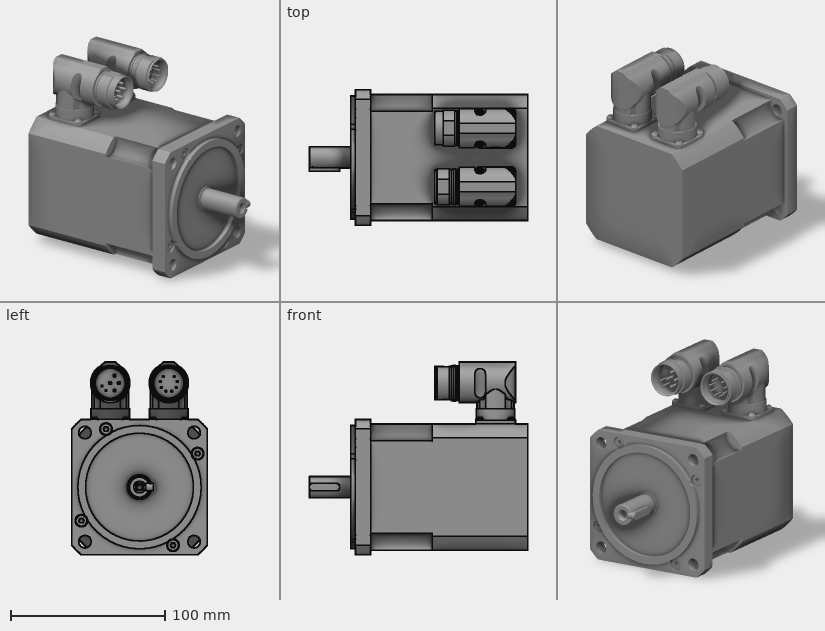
import cadquery as cq
import math


FLANGE_SIDE = 88.0
FLANGE_CORNER_DIA = 116.0
FLANGE_LENGTH = 10.0
PILOT_DIA = 80.0
PILOT_LENGTH = 3.0
RECESS_DIA = 70.0
BOLT_CIRCLE_DIA = 100.0
MOUNT_HOLE_DIA = 8.0

SCREW_CIRCLE_DIA = 87.0
SCREW_ANGLE = 60.0
COUNTERBORE_DIA = 8.0
COUNTERBORE_DEPTH = 4.0
SCREW_HEAD_DIA = 7.2
SCREW_HEAD_HEIGHT = 3.0
SCREW_SOCKET_DIA = 3.5
SCREW_SOCKET_DEPTH = 1.5
SCREW_SOCKET_POINT = 1.0

HOUSING_SIDE = 82.0
HOUSING_CORNER_DIA = 104.0
HOUSING_END = 112.0
SCALLOP_END = 50.0
SCALLOP_RADIUS = 8.0
SCALLOP_OFFSET = 37.0

SHAFT_DIA = 14.0
SHAFT_LENGTH = 30.0
SHAFT_CHAMFER = 0.5
COLLAR_DIA = 16.0
COLLAR_LENGTH = 1.0
KEY_WIDTH = 5.0
KEY_LENGTH = 20.0
KEY_TOP = 9.0
KEY_SEAT = 4.0
CENTRE_CONE_DIA = 7.6
CENTRE_BORE_DIA = 5.0
CENTRE_BORE_DEPTH = 4.0
CENTRE_DRILL_DIA = 3.6
CENTRE_DRILL_DEPTH = 14.0
DRILL_POINT_ANGLE = 118.0

CONNECTOR_SPACING = 38.0
STAND_X = 91.0
PLATE_SIDE = 26.0
PLATE_HEIGHT = 2.3
PLATE_CORNER_RADIUS = 3.2
STAND_COLLAR_RADIUS = 12.55
STAND_COLLAR_TOP = 50.75
NECK_RADIUS = 12.1
NECK_NOTCH_RADIUS = 3.9
PLATE_SCREW_OFFSET = 10.3
PLATE_SCREW_DIA = 4.8
PLATE_SCREW_RIM = 0.7
PLATE_SCREW_HEIGHT = 2.2
PLATE_SCREW_DOME_RADIUS = 1.4
PLATE_SCREW_CROSS_LENGTH = 2.6
PLATE_SCREW_CROSS_WIDTH = 0.9
PLATE_SCREW_CROSS_DEPTH = 1.2

TOP_Z = 125.22 - FLANGE_SIDE / 2
HEAD_AXIS_Z = 67.5
HEAD_RADIUS = 12.7
HEAD_START = 67.4
HEAD_END = 104.0
RIDGE_HALF_WIDTH = 3.3
RIDGE_FOOT_HALF_WIDTH = 6.3
HEAD_BACK_RADIUS = 14.1
SLOT_RADIUS = 3.6
SLOT_X = 81.0
SLOT_OFFSET = 12.1

COUPLING_START = 51.6
COUPLING_BORE_RADIUS = 9.8
COUPLING_BORE_DEPTH = 11.0
COUPLING_MOUTH_BEVEL = 0.7
TUBE_RADIUS = 10.9
RING_RADIUS = 11.3
GROOVE_RADIUS = 10.5
GRIP_RADIUS = 11.65
GRIP_FLAT_HEIGHT = 10.65
POWER_GRIP = (57.0, 64.6)
SIGNAL_GRIP = (53.3, 60.9)
POWER_STEPS = [(POWER_GRIP[0], TUBE_RADIUS), (POWER_GRIP[1], GRIP_RADIUS), (65.8, TUBE_RADIUS),
               (66.8, RING_RADIUS), (HEAD_START, TUBE_RADIUS)]
SIGNAL_STEPS = [(52.7, TUBE_RADIUS), (SIGNAL_GRIP[0], GROOVE_RADIUS), (SIGNAL_GRIP[1], GRIP_RADIUS),
                (62.4, TUBE_RADIUS), (63.7, RING_RADIUS), (64.8, GRIP_RADIUS), (65.8, TUBE_RADIUS),
                (66.8, RING_RADIUS), (HEAD_START, TUBE_RADIUS)]

PIN_CIRCLE_RADIUS = 5.6
PIN_LENGTH = 8.5
LARGE_PIN_DIA = 1.8
SMALL_PIN_DIA = 1.1
PIN_CHAMFER = 0.3
POWER_LARGE_PIN_ANGLES = [-60, 0, 60]
POWER_SMALL_PIN_ANGLES = [200, 240]
SIGNAL_PIN_PITCH = 40
SIGNAL_PIN_COUNT = 8


def disc(start, end, radius, y=0.0, z=0.0):
    """Cylinder along X between two X positions."""
    return cq.Workplane("YZ", origin=(start, y, z)).circle(radius).extrude(end - start)


def post(x, y, bottom, top, radius):
    """Cylinder along Z between two heights."""
    return cq.Workplane("XY", origin=(x, y, bottom)).circle(radius).extrude(top - bottom)


def turned_square(start, end, side, corner_dia):
    """Square prism along X whose corners are turned to a diameter."""
    square = cq.Workplane("YZ", origin=(start, 0, 0)).rect(side, side).extrude(end - start)
    return square.intersect(disc(start, end, corner_dia / 2))


def corners(offset):
    """The four sign combinations of an offset."""
    return [(a * offset, b * offset) for a in (-1, 1) for b in (-1, 1)]


def make_flange():
    flange = turned_square(0, FLANGE_LENGTH, FLANGE_SIDE, FLANGE_CORNER_DIA)
    pilot = disc(-PILOT_LENGTH, 0, PILOT_DIA / 2).cut(disc(-PILOT_LENGTH, 0, RECESS_DIA / 2))
    flange = flange.union(pilot)
    for y, z in corners(BOLT_CIRCLE_DIA / 2 / math.sqrt(2)):
        flange = flange.cut(disc(0, FLANGE_LENGTH, MOUNT_HOLE_DIA / 2, y, z))
    for quarter in range(4):
        angle = math.radians(SCREW_ANGLE + 90 * quarter)
        y = SCREW_CIRCLE_DIA / 2 * math.cos(angle)
        z = SCREW_CIRCLE_DIA / 2 * math.sin(angle)
        head_face = COUNTERBORE_DEPTH - SCREW_HEAD_HEIGHT
        head = disc(head_face, COUNTERBORE_DEPTH, SCREW_HEAD_DIA / 2, y, z)
        socket = (cq.Workplane("YZ", origin=(head_face, y, z))
                  .polygon(6, SCREW_SOCKET_DIA).extrude(SCREW_SOCKET_DEPTH))
        point = cq.Solid.makeCone(SCREW_SOCKET_DIA / 2 * math.cos(math.pi / 6), 0, SCREW_SOCKET_POINT,
                                  cq.Vector(head_face + SCREW_SOCKET_DEPTH, y, z), cq.Vector(1, 0, 0))
        flange = flange.cut(disc(-PILOT_LENGTH, COUNTERBORE_DEPTH, COUNTERBORE_DIA / 2, y, z))
        flange = flange.union(head.cut(socket).cut(cq.Workplane(point)))
    return flange


def make_housing():
    housing = turned_square(FLANGE_LENGTH, HOUSING_END, HOUSING_SIDE, HOUSING_CORNER_DIA)
    for y, z in corners(SCALLOP_OFFSET):
        housing = housing.cut(disc(FLANGE_LENGTH, SCALLOP_END, SCALLOP_RADIUS, y, z))
    return housing


def make_shaft():
    shaft = disc(-SHAFT_LENGTH, 0, SHAFT_DIA / 2).faces("<X").chamfer(SHAFT_CHAMFER)
    shaft = shaft.union(disc(-COLLAR_LENGTH, 0, COLLAR_DIA / 2))
    key = (cq.Workplane("XZ", origin=(KEY_LENGTH / 2 - SHAFT_LENGTH, -KEY_SEAT, 0))
           .slot2D(KEY_LENGTH, KEY_WIDTH).extrude(KEY_TOP - KEY_SEAT))
    keyway_front = (cq.Workplane("XZ", origin=(KEY_WIDTH / 4 - SHAFT_LENGTH, -KEY_SEAT, 0))
                    .rect(KEY_WIDTH / 2, KEY_WIDTH).extrude(KEY_TOP - KEY_SEAT))
    shaft = shaft.cut(keyway_front).union(key)
    cone_depth = (CENTRE_CONE_DIA - CENTRE_BORE_DIA) / 2
    bore_end = cone_depth + CENTRE_BORE_DEPTH
    point = CENTRE_DRILL_DIA / 2 / math.tan(math.radians(DRILL_POINT_ANGLE / 2))
    centre_profile = [(0, 0), (0, CENTRE_CONE_DIA / 2), (cone_depth, CENTRE_BORE_DIA / 2),
                      (bore_end, CENTRE_BORE_DIA / 2), (bore_end, CENTRE_DRILL_DIA / 2),
                      (CENTRE_DRILL_DEPTH, CENTRE_DRILL_DIA / 2), (CENTRE_DRILL_DEPTH + point, 0)]
    centre = (cq.Workplane("XY", origin=(-SHAFT_LENGTH, 0, 0))
              .polyline(centre_profile).close().revolve(360, (0, 0, 0), (1, 0, 0)))
    return shaft.cut(centre)


def make_plate_screw(x, y, seat):
    """Domed screw head with a cross recess."""
    top = seat + PLATE_SCREW_HEIGHT
    radius = PLATE_SCREW_DIA / 2
    profile = (cq.Workplane("XZ").moveTo(0, seat).lineTo(radius, seat).lineTo(radius, seat + PLATE_SCREW_RIM)
               .lineTo(PLATE_SCREW_DOME_RADIUS, top).lineTo(0, top).close())
    head = profile.revolve(360, (0, 0, 0), (0, 1, 0)).translate((x, y, 0))
    for length, width in ((PLATE_SCREW_CROSS_LENGTH, PLATE_SCREW_CROSS_WIDTH),
                          (PLATE_SCREW_CROSS_WIDTH, PLATE_SCREW_CROSS_LENGTH)):
        head = head.cut(cq.Workplane("XY", origin=(x, y, top))
                        .rect(length, width).extrude(-PLATE_SCREW_CROSS_DEPTH))
    return head


def make_stand():
    """Base plate, collar and notched neck of a connector, on Y = 0."""
    plate_bottom = HOUSING_SIDE / 2
    plate_top = plate_bottom + PLATE_HEIGHT
    plate = (cq.Workplane("XY", origin=(STAND_X, 0, plate_bottom)).rect(PLATE_SIDE, PLATE_SIDE)
             .extrude(PLATE_HEIGHT).edges("|Z").fillet(PLATE_CORNER_RADIUS))
    collar = post(STAND_X, 0, plate_top, STAND_COLLAR_TOP, STAND_COLLAR_RADIUS)
    neck = post(STAND_X, 0, STAND_COLLAR_TOP, HEAD_AXIS_Z, NECK_RADIUS)
    stand = plate.union(collar)
    for x, y in corners(PLATE_SCREW_OFFSET):
        neck = neck.cut(post(STAND_X + x, y, STAND_COLLAR_TOP, HEAD_AXIS_Z, NECK_NOTCH_RADIUS))
        stand = stand.union(make_plate_screw(STAND_X + x, y, plate_top))
    return stand.union(neck)


def make_head():
    """Connector head along X with a ridge, side slots and a rounded back, on Y = 0."""
    length = HEAD_END - HEAD_START
    head = disc(HEAD_START, HEAD_END, HEAD_RADIUS, 0, HEAD_AXIS_Z)
    foot_z = math.sqrt(HEAD_RADIUS ** 2 - RIDGE_FOOT_HALF_WIDTH ** 2)
    top_z = TOP_Z - HEAD_AXIS_Z
    ridge = (cq.Workplane("YZ", origin=(HEAD_START, 0, HEAD_AXIS_Z))
             .polyline([(-RIDGE_FOOT_HALF_WIDTH, foot_z), (-RIDGE_HALF_WIDTH, top_z),
                        (RIDGE_HALF_WIDTH, top_z), (RIDGE_FOOT_HALF_WIDTH, foot_z), (0, 0)])
             .close().extrude(length))
    head = head.union(ridge)
    for side in (-1, 1):
        slot = post(SLOT_X, side * SLOT_OFFSET, HEAD_AXIS_Z - HEAD_RADIUS, TOP_Z, SLOT_RADIUS)
        head = head.cut(slot)
    head_bottom = HEAD_AXIS_Z - HEAD_RADIUS
    envelope = post(STAND_X, 0, head_bottom, TOP_Z, HEAD_BACK_RADIUS)
    front_length = STAND_X - HEAD_START
    envelope = envelope.union(cq.Workplane("XY", origin=(HEAD_START + front_length / 2, 0, head_bottom))
                              .rect(front_length, 2 * HEAD_BACK_RADIUS).extrude(TOP_Z - head_bottom))
    return head.intersect(envelope)


def make_pin(angle, circle_radius, diameter):
    """Contact pin on the bore floor; the angle runs from -Y towards +Z."""
    y = -circle_radius * math.cos(math.radians(angle))
    z = HEAD_AXIS_Z + circle_radius * math.sin(math.radians(angle))
    floor = COUPLING_START + COUPLING_BORE_DEPTH
    return disc(floor - PIN_LENGTH, floor, diameter / 2, y, z).faces("<X").chamfer(PIN_CHAMFER)


def make_coupling(steps, grip, pins):
    """Stepped coupling with two grip flats, a bore and contact pins, on Y = 0."""
    start = COUPLING_START
    coupling = cq.Workplane("YZ")
    for end, radius in steps:
        coupling = coupling.union(disc(start, end, radius, 0, HEAD_AXIS_Z))
        start = end
    grip_start, grip_end = grip
    flat_depth = GRIP_RADIUS - GRIP_FLAT_HEIGHT
    for side in (-1, 1):
        flat_z = HEAD_AXIS_Z + side * (GRIP_FLAT_HEIGHT + flat_depth / 2)
        flat = (cq.Workplane("YZ", origin=(grip_start, 0, flat_z))
                .rect(2 * GRIP_RADIUS, flat_depth).extrude(grip_end - grip_start))
        coupling = coupling.cut(flat)
    bore_end = COUPLING_START + COUPLING_BORE_DEPTH
    bore = disc(COUPLING_START, bore_end, COUPLING_BORE_RADIUS, 0, HEAD_AXIS_Z)
    mouth = cq.Solid.makeCone(COUPLING_BORE_RADIUS + COUPLING_MOUTH_BEVEL, COUPLING_BORE_RADIUS,
                              COUPLING_MOUTH_BEVEL, cq.Vector(COUPLING_START, 0, HEAD_AXIS_Z),
                              cq.Vector(1, 0, 0))
    coupling = coupling.cut(bore).cut(cq.Workplane(mouth))
    for pin in pins:
        coupling = coupling.union(pin)
    return coupling


def make_power_pins():
    pins = [make_pin(0, 0, LARGE_PIN_DIA)]
    pins += [make_pin(angle, PIN_CIRCLE_RADIUS, LARGE_PIN_DIA) for angle in POWER_LARGE_PIN_ANGLES]
    pins += [make_pin(angle, PIN_CIRCLE_RADIUS, SMALL_PIN_DIA) for angle in POWER_SMALL_PIN_ANGLES]
    return pins


def make_signal_pins():
    angles = [90 + SIGNAL_PIN_PITCH * (i + 1) for i in range(SIGNAL_PIN_COUNT)]
    return [make_pin(angle, PIN_CIRCLE_RADIUS, SMALL_PIN_DIA) for angle in angles]


elbow = make_stand().union(make_head())
power_connector = elbow.union(make_coupling(POWER_STEPS, POWER_GRIP, make_power_pins()))
signal_connector = elbow.union(make_coupling(SIGNAL_STEPS, SIGNAL_GRIP, make_signal_pins()))

result = make_flange().union(make_housing()).union(make_shaft())
result = result.union(power_connector.translate((0, CONNECTOR_SPACING / 2, 0)))
result = result.union(signal_connector.translate((0, -CONNECTOR_SPACING / 2, 0)))